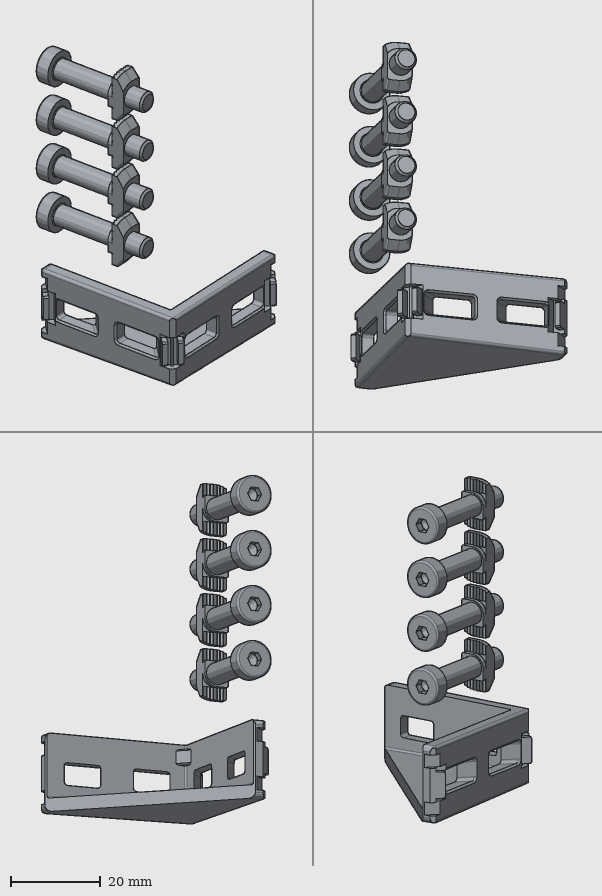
import cadquery as cq
import math


leg = 38.0
height = 17.95
wall = 3.2
cavity_round = 0.45
floor = 3.1
floor_rise = 0.75
hypotenuse_lip = 2.85
corner_chamfer = 1.05
end_chamfer = 1.0
end_round = 1.3
long_edge_round = 0.7
mid_height = height / 2
diagonal = (leg + hypotenuse_lip) / math.sqrt(2)
mirror_normal = cq.Vector(1, 1, 0)

slot_length = 9.0
slot_height = 5.15
slot_radius = 0.8
slot_rim_chamfer = 0.45
slot_starts = [4.6, 21.75]

lug_height = 6.1
lug_thickness = 1.3
lug_reach = 1.5
lug_tip_chamfer = 0.4
corner_lug_offset = 3.45
recess_height = 8.0
recess_leg = 3.8
end_pocket_height = 3.1
end_pocket_leg = 2.5
ridge_size = 0.6

web_leg = 2.55
web_bottom = 13.2
web_height = 3.6
web_chamfer = 0.4
web_overlap = 0.1

screw_count = 4
screw_pitch = 12.5
lowest_screw = 31.55
screw_y = 3.1
shaft_diameter = 5.0
screw_length = 28.5
head_diameter = 8.5
head_length = 3.5
head_round = 0.45
neck_radius = 0.2
tip_chamfer = 0.5
socket_flats = 3.0
socket_depth = 1.8
drill_point = 1.0

nut_start = 19.4
nut_half_width = 2.9
nut_radius = 5.75
collar_length = 1.1
rim_length = 1.4
nut_length = 4.3
nut_end_radius = 3.75
nut_corner_round = 0.45
tooth_count = 7
tooth_depth = 0.3


def across_corner(depth, side):
    """Point at `depth` = u + v and `side` = u - v, where u and v run from the corner along the walls."""
    return (-(depth + side) / 2, (depth - side) / 2)


def prism(points, bottom, top):
    return cq.Workplane("XY").workplane(offset=bottom).polyline(points).close().extrude(top - bottom)


def centred_prism(points, prism_height):
    return prism(points, mid_height - prism_height / 2, mid_height + prism_height / 2)


def on_both_walls(shape):
    """The shape on the Y = 0 wall and its mirror image on the X = 0 wall."""
    solid = shape.val()
    return [solid, solid.mirror(mirror_normal)]


def below_slope(corner_z, far_z):
    """Everything under a plane that falls from the corner to the sloping side."""
    section = cq.Plane(origin=(0, 0, 0), xDir=(-1, 1, 0), normal=(1, 1, 0))
    points = [(0, -height), (0, corner_z), (diagonal, far_z), (diagonal, -height)]
    return cq.Workplane(section).polyline(points).close().extrude(2 * leg, both=True)


def bracket_block():
    outline = [(0, 0), (-leg, 0), (-leg, hypotenuse_lip), (-hypotenuse_lip, leg), (0, leg)]
    block = prism(outline, 0, height).cut(below_slope(floor_rise, 0))
    block = block.faces("<X or >Y").edges("not |Z").fillet(end_round)
    block = block.faces("<Y or >X").edges("not |Z").fillet(long_edge_round)
    end_edge = prism([(-leg + end_chamfer, 0), (-leg, 0), (-leg, end_chamfer)], 0, height)
    corner_edge = prism([(0, 0), (-corner_chamfer, 0), (0, corner_chamfer)], 0, height)
    for edge in [*on_both_walls(end_edge), corner_edge.val()]:
        block = block.cut(cq.Workplane(edge))
    return block


def cavity():
    """Space between the walls, above the sloping floor."""
    far = 2 * leg
    space = prism([(-wall, wall), (-far, wall), (-wall, far)], 0, height)
    space = space.cut(below_slope(floor + floor_rise, floor))
    near_walls = cq.selectors.BoxSelector((-leg, wall - 0.75, 0), (0.75 - wall, leg, height - 0.75))
    corner_and_feet = space.faces("<Y or >X").edges(near_walls)
    return corner_and_feet.fillet(cavity_round)


def corner_web():
    root = wall - web_overlap
    reach = wall + web_leg
    points = [(-root, root), (-reach, root), (-root, reach)]
    web = prism(points, web_bottom, web_bottom + web_height)
    sloping_face = web.faces(cq.DirectionMinMaxSelector(cq.Vector(-1, 1, 0), True))
    return sloping_face.edges("not |Z").chamfer(web_chamfer)


def slot(start):
    """Slot through the Y = 0 wall that widens from the inner to the outer face."""
    middle = -leg + start + slot_length / 2
    plane = cq.Workplane("XZ", origin=(middle, wall, mid_height))
    passage_depth = wall - slot_rim_chamfer

    def opening(depth, stretch, grow):
        """Section at `depth` outside the inner face, stretched towards the corner."""
        section = cq.Sketch().rect(slot_length + stretch + 2 * grow, slot_height + 2 * grow)
        section = section.vertices().fillet(slot_radius + grow)
        return section.moved(cq.Location(cq.Vector(stretch / 2, 0, depth)))

    inner = opening(0, 0, 0)
    rim = opening(passage_depth, passage_depth, 0)
    mouth = opening(wall, passage_depth, slot_rim_chamfer)
    inside = plane.placeSketch(inner).extrude(-wall)
    passage = plane.placeSketch(inner, rim).loft()
    return inside.union(passage).union(plane.placeSketch(rim, mouth).loft())


def end_recess():
    side = leg - end_chamfer
    points = [(-side, 0), across_corner(side, side - recess_leg), (-side + recess_leg, 0)]
    return centred_prism(points, recess_height)


def end_pockets():
    side = leg - end_pocket_leg
    points = [(-side, 0), (-leg, 0), (-leg, end_pocket_leg)]
    tall = centred_prism(points, recess_height + 2 * end_pocket_height)
    return tall.cut(centred_prism(points, recess_height))


def corner_recess():
    """Flat cut across the corner that leaves a ridge on the diagonal."""
    recess = centred_prism([(0, 0), (-recess_leg, 0), (0, recess_leg)], recess_height)
    top = recess_leg - ridge_size * math.sqrt(2)
    half = ridge_size / math.sqrt(2)
    ridge = [
        across_corner(recess_leg, half),
        across_corner(top, half),
        across_corner(top, -half),
        across_corner(recess_leg, -half),
    ]
    return recess.cut(centred_prism(ridge, recess_height))


def lug(root_depth, outer_side):
    """Flap along the corner diagonal, from `root_depth` to its tip outside the wall."""
    inner_side = outer_side - lug_thickness * math.sqrt(2)
    tip_depth = outer_side - 2 * lug_reach
    points = [
        across_corner(root_depth, outer_side),
        across_corner(tip_depth, outer_side),
        across_corner(tip_depth, inner_side),
        across_corner(root_depth, inner_side),
    ]
    flap = centred_prism(points, lug_height)
    tip = flap.faces(cq.DirectionMinMaxSelector(cq.Vector(1, -1, 0)))
    return tip.edges("not |Z").chamfer(lug_tip_chamfer)


def make_bracket():
    body = bracket_block().cut(cavity()).union(corner_web())
    cuts = [slot(start) for start in slot_starts] + [end_recess(), end_pockets()]
    for shape in cuts:
        for solid in on_both_walls(shape):
            body = body.cut(cq.Workplane(solid))
    body = body.cut(corner_recess())
    for shape in [lug(leg - end_chamfer, leg - end_chamfer), lug(recess_leg, corner_lug_offset)]:
        for solid in on_both_walls(shape):
            body = body.union(cq.Workplane(solid))
    return body


def make_screw():
    """Screw along +X with the outer face of its head at X = 0."""
    shaft_radius = shaft_diameter / 2
    head = cq.Workplane("YZ").circle(head_diameter / 2).extrude(head_length)
    head = head.faces("<X").edges().fillet(head_round)
    shaft = cq.Workplane("YZ").circle(shaft_radius).extrude(screw_length)
    shaft = shaft.faces(">X").edges().chamfer(tip_chamfer)
    neck = cq.Workplane("YZ", origin=(head_length, 0, 0)).circle(shaft_radius + neck_radius)
    neck = neck.workplane(offset=neck_radius).circle(shaft_radius).loft()
    socket = cq.Workplane("YZ").polygon(6, socket_flats / math.cos(math.pi / 6)).extrude(socket_depth)
    drill = cq.Solid.makeCone(
        socket_flats / 2, 0, drill_point, cq.Vector(socket_depth, 0, 0), cq.Vector(1, 0, 0)
    )
    return head.union(shaft).union(neck).cut(socket).cut(cq.Workplane(drill))


def make_nut():
    """Hammer nut around the X axis with its collar at X = 0."""
    section = [
        (0, 0),
        (0, nut_half_width),
        (collar_length, nut_half_width),
        (collar_length, nut_radius),
        (collar_length + rim_length, nut_radius),
        (nut_length, nut_end_radius),
        (nut_length, 0),
    ]
    square_quarter = cq.Workplane("XZ").polyline(section).close().extrude(-nut_half_width)
    corner_edges = square_quarter.faces(">Y").edges("not (#X or <Z)")
    square_quarter = corner_edges.fillet(nut_corner_round)
    round_quarter = cq.Workplane("XZ").polyline(section).close().revolve(90, (0, 0, 0), (1, 0, 0))
    half = square_quarter.union(round_quarter)
    nut = half.union(half.rotate((0, 0, 0), (1, 0, 0), 180))
    nut = nut.intersect(cq.Workplane("XY").box(4 * nut_length, 2 * nut_half_width, 4 * nut_radius))
    nut = nut.cut(tooth_grooves())
    return nut.cut(cq.Workplane("YZ").circle(shaft_diameter / 2).extrude(nut_length))


def tooth_grooves():
    """V grooves along Z across both wings, clear of the collar."""
    pitch = 2 * nut_half_width / tooth_count
    grooves = cq.Workplane("XY")
    for index in range(tooth_count):
        start = -nut_half_width + index * pitch
        points = [
            (collar_length, start),
            (collar_length + tooth_depth, start + pitch / 2),
            (collar_length, start + pitch),
        ]
        groove = cq.Workplane("XY").polyline(points).close().extrude(2 * nut_radius, both=True)
        grooves = grooves.add(groove)
    keep = cq.Workplane("XY").box(4 * nut_length, 2 * nut_half_width, 2 * nut_half_width)
    return grooves.combine().cut(keep)


bracket = make_bracket()
screw = make_screw()
nut = make_nut()
screws = []
nuts = []
for index in range(screw_count):
    axis_z = lowest_screw + index * screw_pitch
    screws.append(screw.translate((-leg, screw_y, axis_z)).val())
    nuts.append(nut.translate((-leg + nut_start, screw_y, axis_z)).val())

result = cq.Compound.makeCompound([bracket.val(), *screws, *nuts])